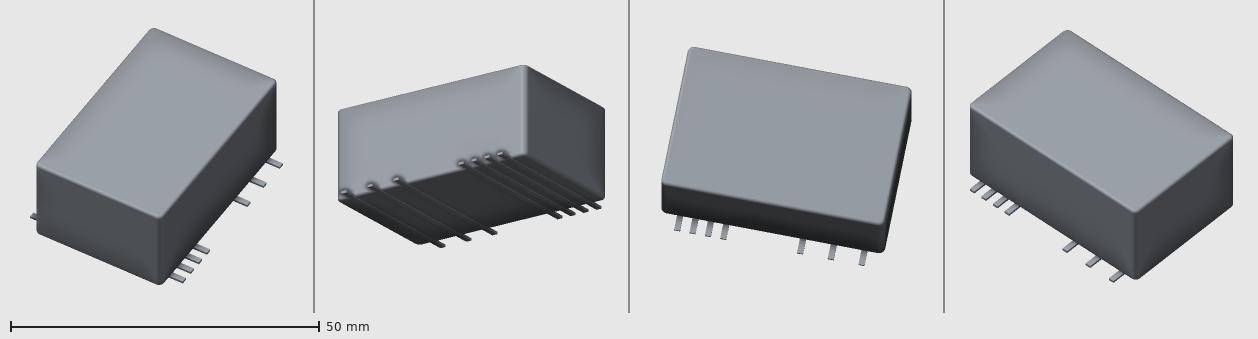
import cadquery as cq

length = 37.0
span_over_pins = 28.9
height = 16.1

housing_width = 24.05
standoff = 0.1
corner_radius = 1.0
rim_radius = 0.5

pin_width = 1.0
pin_thickness = 0.4
outer_pin_spacing = 30.5
pitch_count = 12
pin_pitch = outer_pin_spacing / pitch_count
pin_slots = (-6, -5, -4, -3, 2, 4, 6)


def make_pin(slot):
    """Flat straight bar along X at the given grid slot, resting on Z = 0."""
    bar = cq.Workplane("XY").box(
        span_over_pins, pin_width, pin_thickness, centered=(True, True, False)
    )
    return bar.translate((0, slot * pin_pitch, 0))


def make_housing(pins):
    """Rounded block with a matching channel in its underside for each pin."""
    block = (
        cq.Workplane("XY")
        .box(housing_width, length, height - standoff, centered=(True, True, False))
        .translate((0, 0, standoff))
        .edges("|Z")
        .fillet(corner_radius)
        .faces("<Z or >Z")
        .edges()
        .fillet(rim_radius)
    )
    for pin in pins:
        block = block.cut(pin)
    return block.solids()


pins = [make_pin(slot) for slot in pin_slots]
housing = make_housing(pins)

result = cq.Compound.makeCompound([housing.val(), *[pin.val() for pin in pins]])